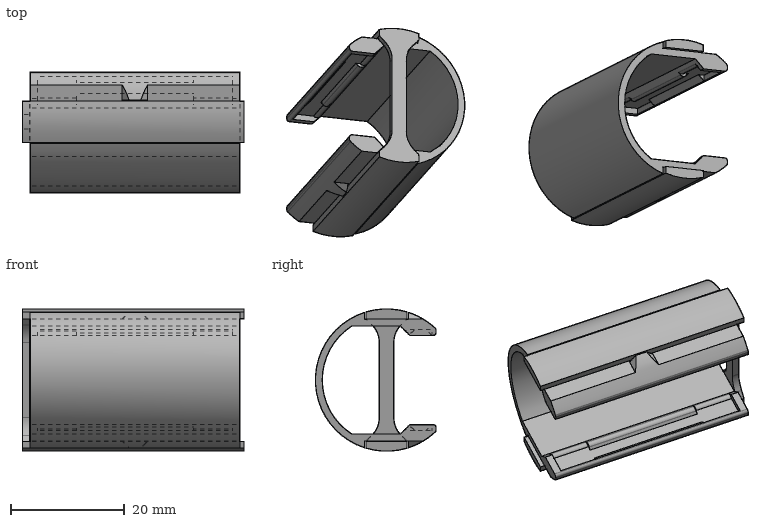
import cadquery as cq
import math


outer_radius = 12.55
clear_radius = outer_radius + 1

frame_length = 39.05
rail_half_width = 3.65
rail_bottom = 10.8
plate_thickness = 1.25
web_half_width = 1.3
web_fillet = 4.4

end_gap = 0.1
side_gap = 0.2
floor_gap = 0.05

rail_overhang = 0.75
shell_length = frame_length - plate_thickness - end_gap - rail_overhang
shell_wall = 1.25
shell_inner_radius = outer_radius - shell_wall
inner_flat = 9.5
groove_half_width = rail_half_width + side_gap
groove_floor = rail_bottom - floor_gap

lip_tip = 8.73
lip_face = 7.85
lip_slope_foot = 2.45
lip_fillet = 0.5

tab_base_width = 4.48

pocket_floor = 8.9
pocket_margin = 1.3
pocket_wall = 8.0
pocket_step = 8.2
pocket_half_length = shell_length / 2 - pocket_margin
pocket_middle_half = shell_length / 2 - pocket_step
ridge_radius = 0.8
end_ridge_foot = 4.2
middle_ridge_foot = 5.0

frame_start = -shell_length / 2 - end_gap - plate_thickness


def section(start):
    """Workplane at X = start with local x = +Y and local y = +Z."""
    return cq.Workplane("YZ", origin=(start, 0, 0))


def cylinder(radius, start, length):
    return section(start).circle(radius).extrude(length)


def box(x_range, y_range, z_range):
    lengths = [high - low for low, high in (x_range, y_range, z_range)]
    corner = (x_range[0], y_range[0], z_range[0])
    return cq.Workplane("XY").box(*lengths, centered=False).translate(corner)


def with_mirror(body):
    """The body together with its mirror image below Z = 0."""
    return body.union(body.mirror("XY"))


def make_frame():
    blank = cylinder(outer_radius, frame_start, frame_length)
    rail = box(
        (frame_start, frame_start + frame_length),
        (-rail_half_width, rail_half_width),
        (rail_bottom, clear_radius),
    )

    flare_offset = rail_bottom - rail_half_width
    arc_rise = web_fillet * math.sin(math.pi / 4)
    arc_width = web_fillet - arc_rise
    arc_end = (web_half_width + arc_width, web_half_width + arc_width + flare_offset)
    arc_start = (web_half_width, arc_end[1] - arc_rise)
    arc_middle = (
        web_half_width + web_fillet * (1 - math.cos(math.pi / 8)),
        arc_start[1] + web_fillet * math.sin(math.pi / 8),
    )
    half_web = (
        section(frame_start)
        .moveTo(0, 0)
        .lineTo(web_half_width, 0)
        .lineTo(*arc_start)
        .threePointArc(arc_middle, arc_end)
        .lineTo(rail_half_width, rail_bottom)
        .lineTo(0, rail_bottom)
        .close()
        .extrude(plate_thickness)
    )
    web = half_web.union(half_web.mirror("XZ"))
    return with_mirror(rail.intersect(blank).union(web))


def make_shell_blank():
    """C-shaped shell before the rail grooves and lip pockets are cut."""
    start = -shell_length / 2
    blank = cylinder(outer_radius, start, shell_length)
    bore = cylinder(shell_inner_radius, start, shell_length).intersect(
        box((start, -start), (-outer_radius, lip_slope_foot), (-inner_flat, inner_flat))
    )
    lip_slope_top = lip_slope_foot + inner_flat - lip_face
    mouth = (
        section(start)
        .polyline([
            (lip_slope_foot, -inner_flat),
            (lip_slope_top, -lip_face),
            (outer_radius, -lip_face),
            (outer_radius, lip_face),
            (lip_slope_top, lip_face),
            (lip_slope_foot, inner_flat),
        ])
        .close()
        .extrude(shell_length)
    )
    beyond_tip = box(
        (start, -start), (lip_tip, clear_radius), (-outer_radius, outer_radius)
    )
    shell = blank.cut(bore).cut(mouth).cut(beyond_tip)
    return shell.edges("|X and >Y").fillet(lip_fillet)


def make_groove():
    """Rail groove, open toward +Y, leaving the central tab with its 45 degree sides standing."""
    groove = box(
        (-shell_length / 2, shell_length / 2),
        (-groove_half_width, outer_radius),
        (groove_floor, clear_radius),
    )
    tab_half_base = tab_base_width / 2
    tab = (
        cq.Workplane("XZ", origin=(0, groove_half_width, 0))
        .polyline([
            (-tab_half_base, groove_floor),
            (tab_half_base, groove_floor),
            (0, groove_floor + tab_half_base),
        ])
        .close()
        .extrude(-outer_radius)
    )
    return groove.cut(tab)


def make_pocket_cut(half_length, ridge_foot, wall_foot):
    """Lip pocket between a wall on the +Y side and a rounded 45 degree ridge.

    ridge_foot and wall_foot are the Y limits of the pocket floor.
    """
    slope_sum = lip_slope_foot + inner_flat
    ridge_offset = pocket_floor - ridge_foot
    peak_y = (slope_sum - ridge_offset) / 2
    peak_z = (slope_sum + ridge_offset) / 2
    tangent = ridge_radius / math.sqrt(2)
    crown_z = peak_z + ridge_radius * (math.sqrt(2) - 1)
    return (
        section(-half_length)
        .moveTo(pocket_wall, lip_face)
        .lineTo(wall_foot, pocket_floor)
        .lineTo(ridge_foot, pocket_floor)
        .lineTo(peak_y + tangent, peak_z + tangent)
        .threePointArc((peak_y, crown_z), (peak_y - tangent, peak_z + tangent))
        .lineTo(peak_y - tangent, lip_face)
        .close()
        .extrude(2 * half_length)
    )


def make_pocket():
    """Upright wall and low ridge near the ends, ramp and higher ridge in the middle."""
    ramp_foot = pocket_wall - (pocket_floor - lip_face)
    end_cut = make_pocket_cut(pocket_half_length, end_ridge_foot, pocket_wall)
    middle_cut = make_pocket_cut(pocket_middle_half, middle_ridge_foot, ramp_foot)
    middle_zone = box(
        (-pocket_middle_half, pocket_middle_half), (0, outer_radius), (0, outer_radius)
    )
    return end_cut.cut(middle_zone).union(middle_cut)


def make_shell():
    shell = make_shell_blank()
    for feature in (make_groove(), make_pocket()):
        shell = shell.cut(feature).cut(feature.mirror("XY"))
    return shell


frame = make_frame()
shell = make_shell()
result = cq.Compound.makeCompound([frame.val(), shell.val()])